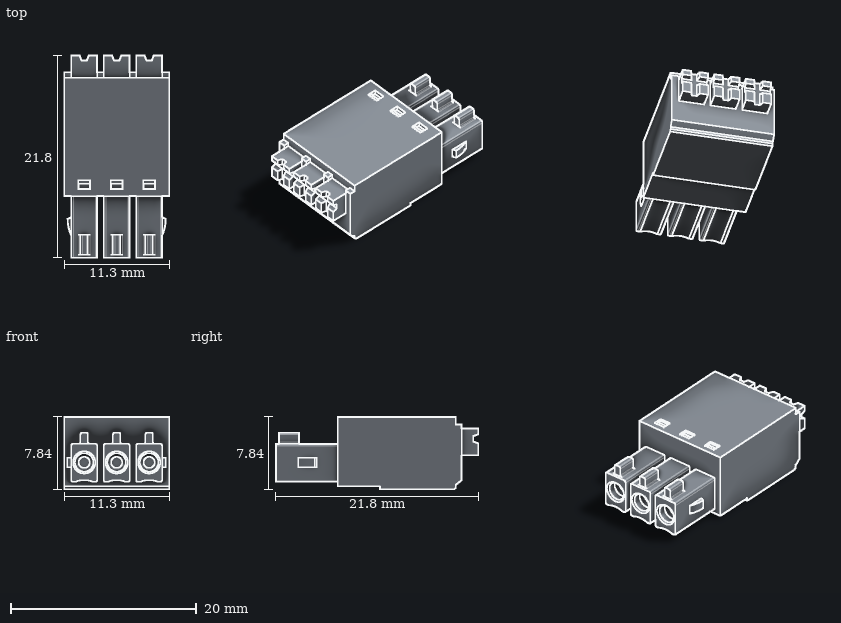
import cadquery as cq
import math


POLE_COUNT = 3
POLE_PITCH = 3.5
POLE_X = [(i - (POLE_COUNT - 1) / 2) * POLE_PITCH for i in range(POLE_COUNT)]

HOUSING_WIDTH = 11.34
HOUSING_LENGTH = 13.38
HOUSING_HEIGHT = 7.84
REAR_STEP_LENGTH = 0.62
REAR_STEP_Z = 7.02
REAR_SLOPE_START_Z = 1.0
REAR_SLOPE_END_Z = 0.5
FOOT_CHAMFER = 0.2
FOOT_START_Y = 4.57
FOOT_HEIGHT = 0.33

WINDOW_WIDTH = 1.3
WINDOW_FRONT_Y = 0.75
WINDOW_LENGTH = 1.0
WINDOW_BEND_Y = 1.32
WINDOW_SHALLOW_DEPTH = 0.2
WINDOW_DEEP_DEPTH = 0.45
WINDOW_DRAFT_ANGLE = 10

PRONG_WIDTH = 2.8
PRONG_LENGTH = 6.64
PRONG_BOTTOM_Z = 0.82
PRONG_TOP_Z = 4.92
PRONG_EDGE_RADIUS = 0.2
HOLLOW_HALF_WIDTH = 0.95
HOLLOW_RISE = 0.2

BORE_Z = 2.92
BORE_MOUTH_RADIUS = 1.2
BORE_SHOULDER_RADIUS = 1.0
BORE_END_RADIUS = 0.6
BORE_MOUTH_DEPTH = 0.2
BORE_CYLINDER_END = 1.05
BORE_DEPTH = 1.45

KEY_WIDTH = 0.8
KEY_TOP_Z = 6.13
KEY_FRONT_Y = -6.32
KEY_LENGTH = 2.18
KEY_TOP_RADIUS = 0.2
KEY_ROOT_RADIUS = 0.2

CATCH_REACH = 0.4
CATCH_FRONT_Y = -4.25
CATCH_CREST_Y = -2.45
CATCH_REAR_Y = -2.25
CATCH_BOTTOM_Z = 2.4
CATCH_TOP_Z = 3.43

LUG_REACH = 1.8
LUG_BOTTOM_Z = 3.68
LUG_TOP_Z = 6.58
NOTCH_DEPTH = 0.53
NOTCH_MOUTH_WIDTH = 0.97
NOTCH_FLOOR_WIDTH = 0.57
SIDE_NOTCH_Z = 5.46

OVERLAP = 0.5


def extrude_along_x(outline, x_start, x_end):
    """Extrude a list of (y, z) points from x_start to x_end."""
    return cq.Workplane("YZ", origin=(x_start, 0, 0)).polyline(outline).close().extrude(x_end - x_start)


def make_housing():
    foot_rear_y = HOUSING_LENGTH - REAR_STEP_LENGTH
    outline = [
        (0, FOOT_HEIGHT),
        (FOOT_START_Y, FOOT_HEIGHT),
        (FOOT_START_Y, 0),
        (foot_rear_y - FOOT_CHAMFER, 0),
        (foot_rear_y, FOOT_CHAMFER),
        (foot_rear_y, REAR_SLOPE_END_Z),
        (HOUSING_LENGTH, REAR_SLOPE_START_Z),
        (HOUSING_LENGTH, REAR_STEP_Z),
        (foot_rear_y, REAR_STEP_Z),
        (foot_rear_y, HOUSING_HEIGHT),
        (0, HOUSING_HEIGHT),
    ]
    return extrude_along_x(outline, -HOUSING_WIDTH / 2, HOUSING_WIDTH / 2)


def make_window(x):
    """Cutter for a roof window whose floor ramps down towards the front."""
    rear_y = WINDOW_FRONT_Y + WINDOW_LENGTH
    floor_z = HOUSING_HEIGHT - WINDOW_SHALLOW_DEPTH
    outline = [
        (WINDOW_FRONT_Y, HOUSING_HEIGHT),
        (WINDOW_FRONT_Y, HOUSING_HEIGHT - WINDOW_DEEP_DEPTH),
        (WINDOW_BEND_Y, floor_z),
        (rear_y, floor_z),
        (rear_y, HOUSING_HEIGHT),
    ]
    profile = extrude_along_x(outline, x - WINDOW_WIDTH / 2, x + WINDOW_WIDTH / 2)
    drafted_shaft = (
        cq.Workplane("XY", origin=(x, WINDOW_FRONT_Y + WINDOW_LENGTH / 2, HOUSING_HEIGHT))
        .rect(WINDOW_WIDTH, WINDOW_LENGTH)
        .extrude(-WINDOW_DEEP_DEPTH, taper=WINDOW_DRAFT_ANGLE)
    )
    return profile.intersect(drafted_shaft)


def make_prong(x):
    """Prong with rounded long edges and a concave underside."""
    height = PRONG_TOP_Z - PRONG_BOTTOM_Z
    length = PRONG_LENGTH + OVERLAP
    prong = (
        cq.Workplane("XZ", origin=(x, OVERLAP, PRONG_BOTTOM_Z + height / 2))
        .rect(PRONG_WIDTH, height)
        .extrude(length)
        .edges("|Y")
        .fillet(PRONG_EDGE_RADIUS)
    )
    hollow = (
        cq.Workplane("XZ", origin=(x, OVERLAP, PRONG_BOTTOM_Z))
        .moveTo(-HOLLOW_HALF_WIDTH, 0)
        .threePointArc((0, HOLLOW_RISE), (HOLLOW_HALF_WIDTH, 0))
        .close()
        .extrude(length)
    )
    return prong.cut(hollow)


def make_bore(x):
    """Cutter for the contact entry: a countersunk mouth, a straight bore and a tapered end."""
    return (
        cq.Workplane("XY", origin=(x, -PRONG_LENGTH, BORE_Z))
        .polyline([
            (0, 0),
            (BORE_MOUTH_RADIUS, 0),
            (BORE_SHOULDER_RADIUS, BORE_MOUTH_DEPTH),
            (BORE_SHOULDER_RADIUS, BORE_CYLINDER_END),
            (BORE_END_RADIUS, BORE_DEPTH),
            (0, BORE_DEPTH),
        ])
        .close()
        .revolve(360, (0, 0, 0), (0, 1, 0))
    )


def make_key(x):
    """Upright rib with a rounded top and concave flares at its root."""
    height = KEY_TOP_Z - PRONG_TOP_Z
    half = KEY_WIDTH / 2
    root = KEY_ROOT_RADIUS
    tip = KEY_TOP_RADIUS
    root_mid = root * (1 - math.sqrt(0.5))
    tip_mid = tip * (1 - math.sqrt(0.5))
    return (
        cq.Workplane("XZ", origin=(x, KEY_FRONT_Y + KEY_LENGTH, PRONG_TOP_Z))
        .moveTo(-half - root, -OVERLAP)
        .lineTo(-half - root, 0)
        .threePointArc((-half - root_mid, root_mid), (-half, root))
        .lineTo(-half, height - tip)
        .threePointArc((-half + tip_mid, height - tip_mid), (-half + tip, height))
        .lineTo(half - tip, height)
        .threePointArc((half - tip_mid, height - tip_mid), (half, height - tip))
        .lineTo(half, root)
        .threePointArc((half + root_mid, root_mid), (half + root, 0))
        .lineTo(half + root, -OVERLAP)
        .close()
        .extrude(KEY_LENGTH)
    )


def make_catch():
    """Snap catch on the +X side: a curved lead-in, a crest and a steep rear face."""
    side_x = POLE_X[-1] + PRONG_WIDTH / 2
    crest_x = side_x + CATCH_REACH
    run = CATCH_CREST_Y - CATCH_FRONT_Y
    lead_radius = (run ** 2 + CATCH_REACH ** 2) / (2 * CATCH_REACH)
    half_angle = math.asin(run / lead_radius) / 2
    arc_mid = (
        crest_x - lead_radius * (1 - math.cos(half_angle)),
        CATCH_CREST_Y - lead_radius * math.sin(half_angle),
    )
    inner_x = side_x - PRONG_EDGE_RADIUS
    return (
        cq.Workplane("XY", origin=(0, 0, CATCH_BOTTOM_Z))
        .moveTo(inner_x, CATCH_FRONT_Y)
        .lineTo(side_x, CATCH_FRONT_Y)
        .threePointArc(arc_mid, (crest_x, CATCH_CREST_Y))
        .lineTo(side_x, CATCH_REAR_Y)
        .lineTo(inner_x, CATCH_REAR_Y)
        .close()
        .extrude(CATCH_TOP_Z - CATCH_BOTTOM_Z)
    )


def notch_outline(centre, rear_y):
    """Trapezoid notch cut forwards from rear_y, as (across, y) points."""
    mouth = NOTCH_MOUTH_WIDTH / 2
    floor = NOTCH_FLOOR_WIDTH / 2
    return [
        (centre - mouth, rear_y),
        (centre - floor, rear_y - NOTCH_DEPTH),
        (centre + floor, rear_y - NOTCH_DEPTH),
        (centre + mouth, rear_y),
    ]


def make_lug_recess(x):
    """Cutter that opens the rear band above a lug, level with the lug top."""
    height = REAR_STEP_Z - LUG_TOP_Z
    recess = cq.Workplane("XY").box(PRONG_WIDTH, REAR_STEP_LENGTH, height, centered=(True, False, False))
    return recess.translate((x, HOUSING_LENGTH - REAR_STEP_LENGTH, LUG_TOP_Z))


def make_lug(x):
    """Release lug with one notch running along Z and one running along X."""
    rear_y = HOUSING_LENGTH + LUG_REACH
    front_y = HOUSING_LENGTH - OVERLAP
    height = LUG_TOP_Z - LUG_BOTTOM_Z
    half_width = PRONG_WIDTH / 2
    lug = cq.Workplane("XY").box(PRONG_WIDTH, rear_y - front_y, height, centered=(True, False, False))
    lug = lug.translate((x, front_y, LUG_BOTTOM_Z))
    upright_notch = (
        cq.Workplane("XY", origin=(0, 0, LUG_BOTTOM_Z))
        .polyline(notch_outline(x, rear_y))
        .close()
        .extrude(height)
    )
    side_outline = [(y, z) for z, y in notch_outline(SIDE_NOTCH_Z, rear_y)]
    side_notch = extrude_along_x(side_outline, x - half_width, x + half_width)
    return lug.cut(upright_notch).cut(side_notch)


part = make_housing()
for pole_x in POLE_X:
    part = part.union(make_prong(pole_x)).union(make_key(pole_x)).union(make_lug(pole_x))
    part = part.cut(make_window(pole_x)).cut(make_bore(pole_x)).cut(make_lug_recess(pole_x))

catch = make_catch()
part = part.union(catch).union(catch.mirror("YZ"))

result = part